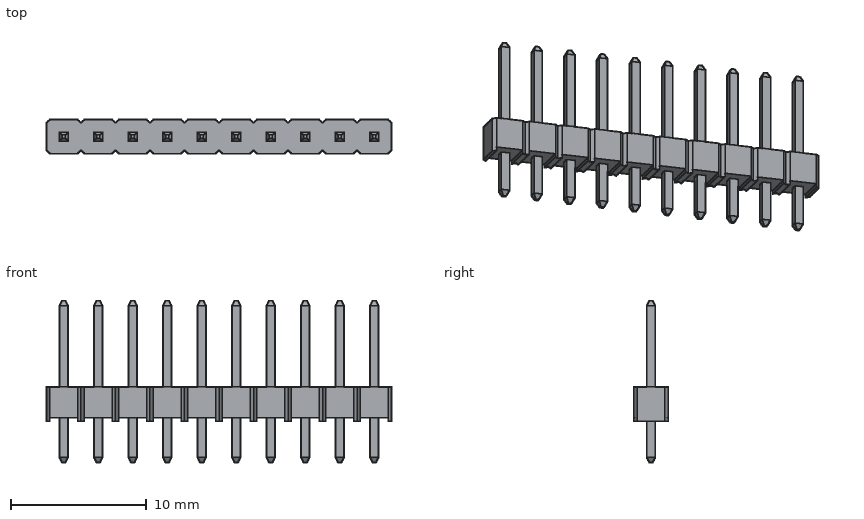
import cadquery as cq

PIN_COUNT = 10
PITCH = 2.54

BODY_DEPTH = PITCH
BODY_HEIGHT = PITCH
CORNER_CHAMFER = 0.254
STANDOFF_HEIGHT = 0.254
CHANNEL_WIDTH = PITCH - 2 * CORNER_CHAMFER

PIN_WIDTH = 0.65
PIN_ABOVE_BODY = 6.35
PIN_BELOW_BODY = 3.05
TIP_LENGTH = 0.4
TIP_WIDTH = 0.25

BODY_LENGTH = PIN_COUNT * PITCH
CELL_CENTERS = [-BODY_LENGTH / 2 + (i + 0.5) * PITCH for i in range(PIN_COUNT)]


def make_cell():
    """One body cell with chamfered vertical edges and a channel across its underside."""
    block = cq.Workplane("XY").box(PITCH, BODY_DEPTH, BODY_HEIGHT, centered=(True, True, False))
    block = block.edges("|Z").chamfer(CORNER_CHAMFER)
    channel = cq.Workplane("XY").box(
        CHANNEL_WIDTH, BODY_DEPTH, STANDOFF_HEIGHT, centered=(True, True, False)
    )
    return block.cut(channel)


def make_tip(base_z, length):
    """Tapered pin end starting at base_z; a negative length points it downwards."""
    return (
        cq.Workplane("XY")
        .workplane(offset=base_z)
        .rect(PIN_WIDTH, PIN_WIDTH)
        .workplane(offset=length)
        .rect(TIP_WIDTH, TIP_WIDTH)
        .loft(ruled=True)
    )


def make_pin():
    """One square pin running through the body, tapered at the top and bottom."""
    shank_bottom = TIP_LENGTH - PIN_BELOW_BODY
    shank_top = BODY_HEIGHT + PIN_ABOVE_BODY - TIP_LENGTH
    shank = (
        cq.Workplane("XY")
        .workplane(offset=shank_bottom)
        .rect(PIN_WIDTH, PIN_WIDTH)
        .extrude(shank_top - shank_bottom)
    )
    return shank.union(make_tip(shank_top, TIP_LENGTH)).union(make_tip(shank_bottom, -TIP_LENGTH))


def make_header():
    """Row of identical cells, each holding one pin, joined into one solid."""
    unit = make_cell().union(make_pin())
    header = cq.Workplane("XY")
    for x in CELL_CENTERS:
        header = header.union(unit.translate((x, 0, 0)))
    return header.clean()


result = make_header()